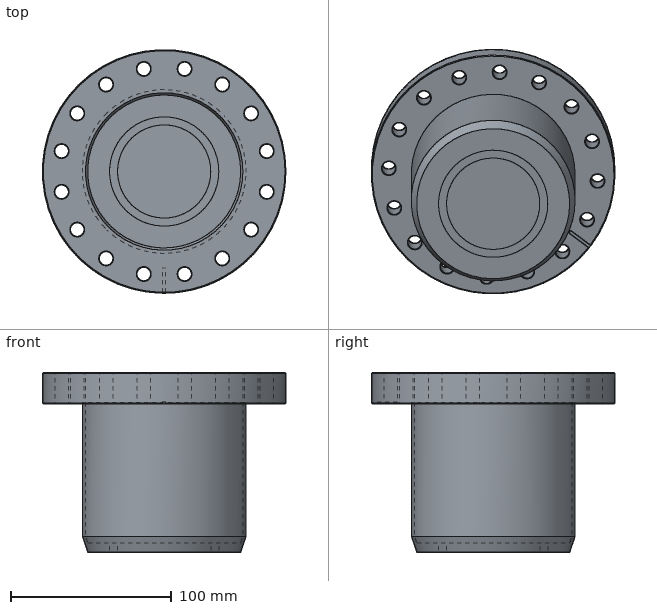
import cadquery as cq

flange_diameter = 151.64
flange_thickness = 19.5
rim_chamfer = 0.6
bore_radius = 49.0
bolt_count = 16
bolt_circle_radius = 65.1
bolt_hole_diameter = 8.4
bolt_hole_chamfer = 0.4
leak_groove_width = 1.9
leak_groove_depth = 1.2
leak_groove_inner_radius = 60.0

overall_height = 111.96
tube_radius = 51.0
tube_top = -18.5
nose_height = 10.0
nose_end_radius = 47.6
floor_bore_radius = 47.6

ring_radius = 34.0
window_radius = 29.0

tube_bottom = -overall_height
nose_top = tube_bottom + nose_height
nose_slope = (tube_radius - nose_end_radius) / nose_height
floor_top = nose_top - (bore_radius - floor_bore_radius) / nose_slope


def disc(radius, bottom, top):
    """Solid cylinder on the Z axis between two heights."""
    return cq.Workplane("XY").workplane(offset=bottom).circle(radius).extrude(top - bottom)


def make_flange():
    """Bolted flange with its top face at Z = 0, recessed from below for the tube."""
    bolt_holes = (
        cq.Workplane("XY")
        .polarArray(bolt_circle_radius, 180 / bolt_count, 360, bolt_count)
        .circle(bolt_hole_diameter / 2)
        .extrude(-flange_thickness)
    )
    leak_groove_length = flange_diameter / 2 - leak_groove_inner_radius
    leak_groove = (
        cq.Workplane("XY")
        .workplane(offset=-flange_thickness)
        .center(0, -flange_diameter / 2 + leak_groove_length / 2)
        .rect(leak_groove_width, leak_groove_length)
        .extrude(leak_groove_depth)
    )
    flange = disc(flange_diameter / 2, -flange_thickness, 0)
    flange = flange.edges("%CIRCLE").chamfer(rim_chamfer)
    flange = flange.cut(bolt_holes)
    flange = flange.edges(cq.selectors.RadiusNthSelector(0)).chamfer(bolt_hole_chamfer)
    flange = flange.cut(disc(bore_radius, -flange_thickness, 0))
    flange = flange.cut(disc(tube_radius, -flange_thickness, tube_top))
    return flange.cut(leak_groove)


def make_tube():
    """Turned cup whose floor has a round opening for the window ring."""
    profile = [
        (bore_radius, tube_top),
        (tube_radius, tube_top),
        (tube_radius, nose_top),
        (nose_end_radius, tube_bottom),
        (ring_radius, tube_bottom),
        (ring_radius, floor_top),
        (floor_bore_radius, floor_top),
        (bore_radius, nose_top),
    ]
    return cq.Workplane("XZ").polyline(profile).close().revolve(360, (0, 0), (0, 1))


def make_ring():
    """Ring between the tube floor and the window."""
    return disc(ring_radius, tube_bottom, floor_top).cut(disc(window_radius, tube_bottom, floor_top))


flange = make_flange()
tube = make_tube()
ring = make_ring()
window = disc(window_radius, tube_bottom, floor_top)

result = cq.Compound.makeCompound([flange.val(), tube.val(), ring.val(), window.val()])